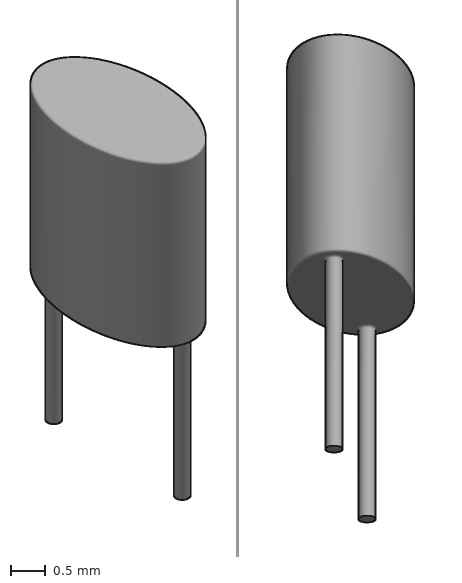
import cadquery as cq

body_length = 3.05
body_width = 1.78
body_height = 3.43
edge_radius = 0.04

lead_diameter = 0.25
lead_length = 3.0
lead_pitch = 2.54
root_radius = 0.04


def make_body():
    """Elliptic cylinder with rounded top and bottom rims."""
    blank = cq.Workplane("XY").ellipse(body_length / 2, body_width / 2).extrude(body_height)
    return blank.faces("<Z or >Z").edges().fillet(edge_radius)


def make_lead(x):
    """Wire with a concave flare at its root, revolved about its own axis."""
    lead_radius = lead_diameter / 2
    flare_radius = lead_radius + root_radius
    arc_offset = root_radius * (1 - 0.5 ** 0.5)
    profile = (
        cq.Workplane("XZ", origin=(x, 0, 0))
        .moveTo(0, -lead_length)
        .lineTo(lead_radius, -lead_length)
        .lineTo(lead_radius, -root_radius)
        .threePointArc((lead_radius + arc_offset, -arc_offset), (flare_radius, 0))
        .lineTo(0, 0)
        .close()
    )
    return profile.revolve(360, (0, 0, 0), (0, 1, 0))


result = make_body()
for side in (-1, 1):
    result = result.union(make_lead(side * lead_pitch / 2))